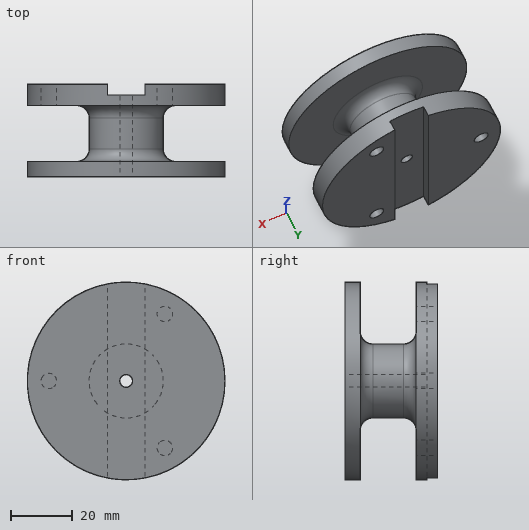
import cadquery as cq

flange_diameter = 64
total_length = 30.0
thin_flange = 5.0
thick_flange = 7.0
hub_diameter = 24.0
hub_fillet = 4.0
bore_diameter = 4.0
slot_width = 12.0
slot_depth = 3.5
bolt_hole_diameter = 5.0
bolt_circle_radius = 25.0
bolt_angles = (60, 180, 300)

flange_radius = flange_diameter / 2
hub_radius = hub_diameter / 2
front_face = -total_length / 2
back_face = total_length / 2
groove_front = front_face + thin_flange
groove_back = back_face - thick_flange


def make_spool():
    """Revolve two flanges and a hub with concave corner fillets."""
    fillet_edge = hub_radius + hub_fillet
    profile = (
        cq.Workplane("XY")
        .moveTo(0, front_face)
        .lineTo(flange_radius, front_face)
        .lineTo(flange_radius, groove_front)
        .lineTo(fillet_edge, groove_front)
        .radiusArc((hub_radius, groove_front + hub_fillet), hub_fillet)
        .lineTo(hub_radius, groove_back - hub_fillet)
        .radiusArc((fillet_edge, groove_back), hub_fillet)
        .lineTo(flange_radius, groove_back)
        .lineTo(flange_radius, back_face)
        .lineTo(0, back_face)
        .close()
    )
    return profile.revolve(360, (0, 0), (0, 1))


def make_bore():
    """Central hole through the whole length."""
    return (
        cq.Workplane("XZ", origin=(0, back_face, 0))
        .circle(bore_diameter / 2)
        .extrude(total_length)
    )


def make_slot():
    """Key slot across the back face, running along Z."""
    slot_center = back_face - slot_depth / 2
    return (
        cq.Workplane("XY")
        .box(slot_width, slot_depth, flange_diameter)
        .translate((0, slot_center, 0))
    )


def make_bolt_hole(angle):
    """Hole through the thick flange at an angle from +X toward +Z."""
    hole = (
        cq.Workplane("XZ", origin=(0, back_face, 0))
        .center(bolt_circle_radius, 0)
        .circle(bolt_hole_diameter / 2)
        .extrude(thick_flange)
    )
    return hole.rotate((0, 0, 0), (0, 1, 0), -angle)


result = make_spool().cut(make_bore()).cut(make_slot())
for bolt_angle in bolt_angles:
    result = result.cut(make_bolt_hole(bolt_angle))